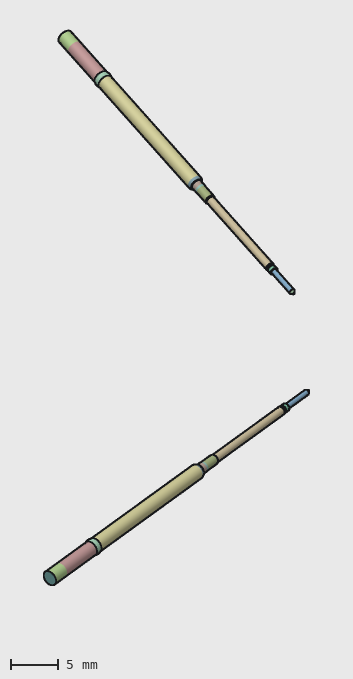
import cadquery as cq


body_diameter = 1.68
press_ring_diameter = 1.85
mouth_diameter = 1.44
neck_diameter = 1.20
sleeve_diameter = 1.14
rod_diameter = 0.97
collar_diameter = 0.91
groove_diameter = 0.76
tip_diameter = 0.64
point_diameter = 0.24

overall_length = 43.18
rear_section_end = 1.85
press_ring_start = 6.83
press_ring_end = 7.58
body_end = 24.46
mouth_end = 24.86
sleeve_start = 25.50
sleeve_end = 27.48
rod_end = 38.66
collar_start = 38.92
collar_end = 39.44
point_length = 0.33
sleeve_taper_length = 0.26
sleeve_front_chamfer = 0.10

body_radius = body_diameter / 2
ring_radius = press_ring_diameter / 2
mouth_radius = mouth_diameter / 2
neck_radius = neck_diameter / 2
sleeve_radius = sleeve_diameter / 2
rod_radius = rod_diameter / 2
collar_radius = collar_diameter / 2
groove_radius = groove_diameter / 2
tip_radius = tip_diameter / 2
point_radius = point_diameter / 2

ring_middle = (press_ring_start + press_ring_end) / 2
point_start = overall_length - point_length


def receptacle_profile(outline):
    """Rear tube with its rounded press ring and rolled-in front mouth."""
    return (
        outline.lineTo(0, body_radius)
        .lineTo(rear_section_end, body_radius)
        .lineTo(press_ring_start, body_radius)
        .threePointArc((ring_middle, ring_radius), (press_ring_end, body_radius))
        .lineTo(body_end, body_radius)
        .tangentArcPoint((mouth_end, mouth_radius), relative=False)
    )


def sleeve_profile(outline):
    """Neck tapering down to the chamfered front sleeve of the probe barrel."""
    return (
        outline.lineTo(mouth_end, neck_radius)
        .lineTo(sleeve_start, neck_radius)
        .lineTo(sleeve_start + sleeve_taper_length, sleeve_radius)
        .lineTo(sleeve_end - sleeve_front_chamfer, sleeve_radius)
        .lineTo(sleeve_end, sleeve_radius - sleeve_front_chamfer)
    )


def plunger_profile(outline):
    """Plunger rod, groove, collar and slim tip with a blunt conical point."""
    return (
        outline.lineTo(sleeve_end, rod_radius)
        .lineTo(rod_end, rod_radius)
        .lineTo(rod_end, groove_radius)
        .lineTo(collar_start, groove_radius)
        .lineTo(collar_start, collar_radius)
        .lineTo(collar_end, collar_radius)
        .lineTo(collar_end, tip_radius)
        .lineTo(point_start, tip_radius)
        .lineTo(overall_length, point_radius)
        .lineTo(overall_length, 0)
    )


profile = cq.Workplane("XZ").moveTo(0, 0)
profile = receptacle_profile(profile)
profile = sleeve_profile(profile)
profile = plunger_profile(profile).close()

result = profile.revolve(360, (0, 0, 0), (1, 0, 0), clean=False)